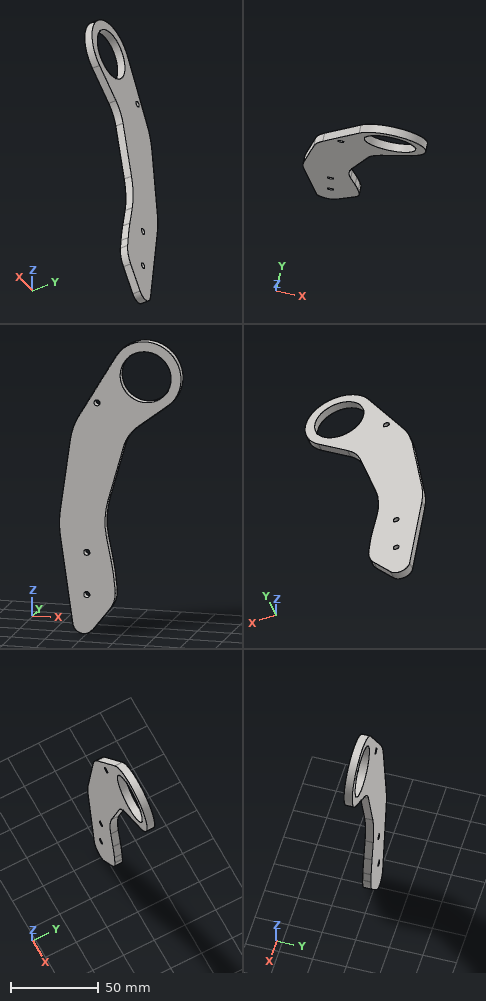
import cadquery as cq
import math

thickness = 5.0
ring_radius = 21.0
bore_radius = 15.0
pin_hole_radius = 1.7

upper_hole = (-28.8, -17.0)
tip_hole_x = -34.85
tip_hole_z = -105.85
tip_hole_spacing = 25.0
pin_holes = [
    upper_hole,
    (tip_hole_x, tip_hole_z),
    (tip_hole_x, tip_hole_z - tip_hole_spacing),
]

shoulder = (-43.5, -31.75, 40.0)
back_bend = (-51.58, -89.4, 50.0)
tip = (-40.97, -163.63, 6.55)
heel = (-17.35, -133.75, 15.6)
belly = (-19.25, -115.35, 124.0)
inner_bend = (-25.35, -85.2, 47.5)
throat = (-10.95, -34.7, 21.8)
corners = [shoulder, back_bend, tip, heel, belly, inner_bend, throat]


def ring_tangent_point(corner, side):
    """Point where a line from the corner touches the ring; side is +1 or -1."""
    x, z = corner[:2]
    direction = math.atan2(z, x)
    angle = direction + side * math.acos(ring_radius / math.hypot(x, z))
    return (ring_radius * math.cos(angle), ring_radius * math.sin(angle))


def unit_vector(start, end):
    dx = end[0] - start[0]
    dz = end[1] - start[1]
    length = math.hypot(dx, dz)
    return (dx / length, dz / length)


def offset_point(point, direction, distance):
    return (point[0] + distance * direction[0], point[1] + distance * direction[1])


def corner_arc(before, corner, after):
    """Start, middle and end points of the tangent arc that rounds a corner."""
    vertex = corner[:2]
    radius = corner[2]
    back = unit_vector(vertex, before)
    ahead = unit_vector(vertex, after)
    half_angle = math.acos(back[0] * ahead[0] + back[1] * ahead[1]) / 2
    trim = radius / math.tan(half_angle)
    bisector = unit_vector((0, 0), (back[0] + ahead[0], back[1] + ahead[1]))
    middle_distance = radius / math.sin(half_angle) - radius
    return (
        offset_point(vertex, back, trim),
        offset_point(vertex, bisector, middle_distance),
        offset_point(vertex, ahead, trim),
    )


def plate_outline():
    """Closed outline of the arm and ring, with every corner rounded."""
    back_tangent = ring_tangent_point(shoulder, -1)
    inner_tangent = ring_tangent_point(throat, 1)
    path = [back_tangent, *corners, inner_tangent]
    outline = cq.Workplane("XZ").moveTo(*back_tangent)
    for before, corner, after in zip(path, path[1:], path[2:]):
        start, middle, end = corner_arc(before, corner, after)
        outline = outline.lineTo(*start).threePointArc(middle, end)
    ring_far_point = offset_point((0, 0), unit_vector(throat, (0, 0)), ring_radius)
    return outline.lineTo(*inner_tangent).threePointArc(ring_far_point, back_tangent).close()


def through_holes(centers, radius):
    return cq.Workplane("XZ").pushPoints(centers).circle(radius).extrude(-thickness)


plate = plate_outline().extrude(-thickness)
bore = through_holes([(0, 0)], bore_radius)
pins = through_holes(pin_holes, pin_hole_radius)

result = plate.cut(bore).cut(pins)